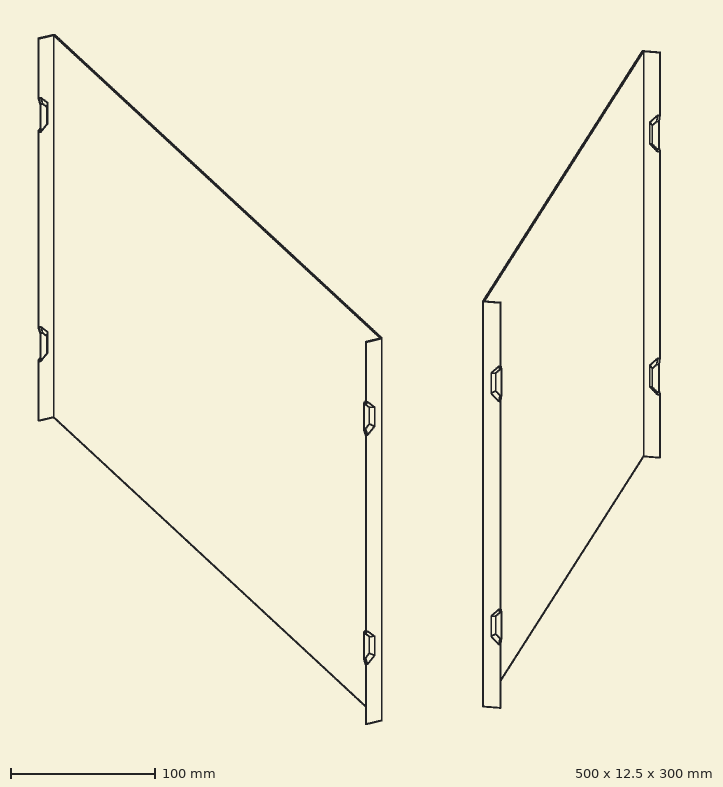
import cadquery as cq

width = 500.0
depth = 12.5
height = 300.0
sheet = 1.0
bend_radius = 1.0

catch_inset = 60.0
catch_heights = (catch_inset, height - catch_inset)
catch_offset = 3.0
mouth_length = 26.0
mouth_reach = 6.5
mouth_corner = 5.5
floor_length = 19.0
floor_reach = 4.0
floor_corner = 3.0


def make_channel():
    """Panel with a rounded bend along each side, open toward -Y."""
    outer = (
        cq.Workplane("XY")
        .box(width, depth, height, centered=(True, False, False))
        .edges("|Z and >Y")
        .fillet(bend_radius)
    )
    inside_width = width - 2 * sheet
    inner = cq.Workplane("XY").box(inside_width, depth - sheet, height, centered=(True, False, False))
    return outer.cut(inner)


def catch_outline(length, reach, corner):
    """Catch outline in (Y, Z), with sloping corners."""
    half = length / 2
    return [
        (0, -half),
        (reach - corner, -half),
        (reach, corner - half),
        (reach, half - corner),
        (reach - corner, half),
        (0, half),
    ]


def make_dish(start, margin):
    """Tapered dish at the -X flange, widened all round by margin."""
    mouth = catch_outline(mouth_length + 2 * margin, mouth_reach + margin, mouth_corner)
    floor = catch_outline(floor_length + 2 * margin, floor_reach + margin, floor_corner)
    return (
        cq.Workplane("YZ", origin=(start, 0, 0))
        .polyline(mouth)
        .close()
        .workplane(offset=catch_offset)
        .polyline(floor)
        .close()
        .loft(ruled=True)
    )


left_face = -width / 2
recess = make_dish(left_face, 0)
catch_body = make_dish(left_face + sheet, sheet / 2)

result = make_channel()
for mirrored in (False, True):
    body = catch_body.mirror("YZ") if mirrored else catch_body
    hollow = recess.mirror("YZ") if mirrored else recess
    for catch_height in catch_heights:
        shift = (0, 0, catch_height)
        result = result.union(body.translate(shift)).cut(hollow.translate(shift))